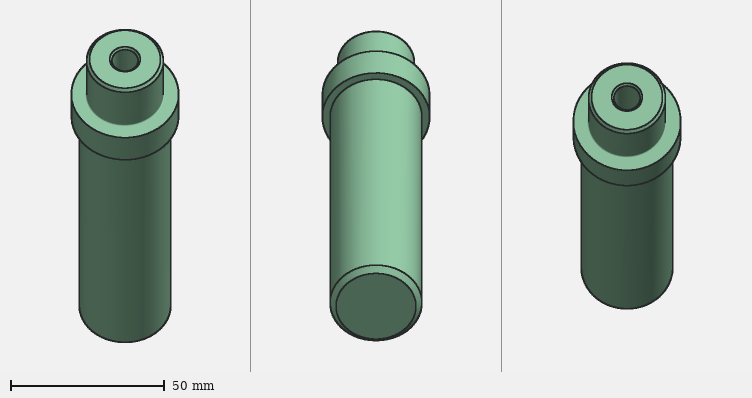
import cadquery as cq
import math

total_length = 140.0
spigot_length = 19.5
collar_length = 12.5
shank_length = total_length - collar_length - spigot_length

shank_diameter = 30.0
collar_diameter = 35.0
spigot_diameter = 25.0

shank_chamfer = 2.0
spigot_chamfer = 1.0
root_fillet = 0.4

hole_diameter = 8.5
hole_depth = 21.0
hole_mouth_diameter = 10.0
drill_tip_angle = 118.0


def make_body():
    """Stepped pin: chamfered shank, collar, and spigot with a filleted root."""
    shank = cq.Workplane("XY").circle(shank_diameter / 2).extrude(shank_length)
    shank = shank.faces("<Z").chamfer(shank_chamfer)

    collar = (
        cq.Workplane("XY", origin=(0, 0, shank_length))
        .circle(collar_diameter / 2)
        .extrude(collar_length)
    )
    spigot = (
        cq.Workplane("XY", origin=(0, 0, shank_length + collar_length))
        .circle(spigot_diameter / 2)
        .extrude(spigot_length)
    )
    spigot = spigot.faces(">Z").chamfer(spigot_chamfer)
    head = collar.union(spigot)
    collar_top_center = (0, 0, shank_length + collar_length)
    collar_top = head.faces(cq.selectors.NearestToPointSelector(collar_top_center))
    head = collar_top.edges(cq.selectors.RadiusNthSelector(0)).fillet(root_fillet)
    return shank.union(head)


def make_hole():
    """Drilled hole with a conical tip and a 45 degree countersunk mouth."""
    hole_radius = hole_diameter / 2
    mouth_radius = hole_mouth_diameter / 2
    countersink_depth = mouth_radius - hole_radius
    hole_floor = total_length - hole_depth
    tip_depth = hole_radius / math.tan(math.radians(drill_tip_angle / 2))
    return (
        cq.Workplane("XZ")
        .moveTo(0, total_length)
        .lineTo(mouth_radius, total_length)
        .lineTo(hole_radius, total_length - countersink_depth)
        .lineTo(hole_radius, hole_floor)
        .lineTo(0, hole_floor - tip_depth)
        .close()
        .revolve(360, (0, 0, 0), (0, 1, 0))
    )


result = make_body().cut(make_hole())